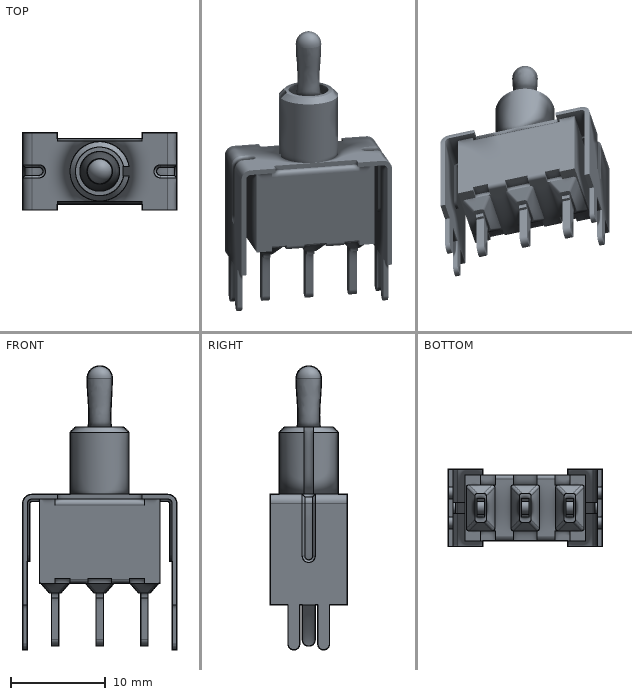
import cadquery as cq
import math


OVERALL_HEIGHT = 29.93

BRACKET_LENGTH = 16.25
BRACKET_DEPTH = 8.15
BRACKET_TOP = 16.4
SHEET = 0.5
BEND_RADIUS = 1.0
BRACKET_PLATE_BOTTOM = 4.75
NOTCH_LENGTH = 8.92
NOTCH_INNER_DEPTH = 6.35
TAB_WIDTH = 1.25
TAB_PITCH = 3.15

BEAD_DEPTH = 0.27
BEAD_WIDTH = 1.38
BEAD_BUMP_WIDTH = 1.15
BEAD_TOP_END_X = 6.4
BEAD_SIDE_END_Z = 9.9

HOUSING_LENGTH = 12.72
HOUSING_DEPTH = 6.95
HOUSING_BOTTOM = 7.0
PANEL_LENGTH = 9.45
PANEL_TOP_ROUND = 0.63
PANEL_BOTTOM_ROUND = 0.42
RECESS_HEIGHT = 0.5
RECESS_DEPTH = 1.05
CENTRE_RECESS_LENGTH = 2.45
END_RECESS_INNER_X = 3.1

TERMINAL_PITCH = 4.7
TERMINAL_THICKNESS = 0.8
TERMINAL_WIDTH = 1.38
TERMINAL_TIP = 0.4
SHOULDER_WIDTH = 1.98
SHOULDER_BOTTOM = 5.48
MOUND_BOTTOM = 6.0
MOUND_TOP_LENGTH = 3.0
MOUND_BOTTOM_LENGTH = 1.2
MOUND_CORNER = 0.27

BUSHING_DIAMETER = 6.25
BUSHING_TOP = 23.5
BUSHING_CHAMFER = 0.57
BORE_DIAMETER = 4.2
KEYWAY_WIDTH = 1.0
KEYWAY_FLOOR_X = 2.42

BALL_CENTRE_Z = 21.4
LEVER_HEAD_RADIUS = 1.35
LEVER_NECK_RADIUS = 1.17
LEVER_NECK_Z = 24.55
LEVER_FOOT_RADIUS = 1.3
LEVER_FOOT_FLARE = 0.15

BRACKET_END_X = BRACKET_LENGTH / 2
BRACKET_UNDERSIDE = BRACKET_TOP - SHEET
BEND_CENTRE_X = BRACKET_END_X - BEND_RADIUS
BEND_CENTRE_Z = BRACKET_TOP - BEND_RADIUS
INNER_BEND_RADIUS = BEND_RADIUS - SHEET
PANEL_END_X = PANEL_LENGTH / 2
HOUSING_FRONT_Y = HOUSING_DEPTH / 2
BALL_RADIUS = BORE_DIAMETER / 2


def box(x_size, y_size, bottom, top, x=0.0, y=0.0):
    """Block centred on (x, y) that spans bottom to top in Z."""
    return cq.Workplane("XY", origin=(x, y, bottom)).box(
        x_size, y_size, top - bottom, centered=(True, True, False)
    )


def blade(thickness, width, tip, top, x, y=0.0):
    """Flat leg facing X, with a full round at its lower tip."""
    round_centre = tip + width / 2
    leg = box(thickness, width, round_centre, top, x, y)
    disc = cq.Workplane("YZ", origin=(x - thickness / 2, y, round_centre)).circle(width / 2).extrude(thickness)
    return leg.union(disc)


def bead_end(outer_radius, inner_radius, centre, direction):
    """Round end of a bead: a cylinder, or a cone when the walls slope."""
    if outer_radius == inner_radius:
        solid = cq.Solid.makeCylinder(outer_radius, BEAD_DEPTH, cq.Vector(*centre), cq.Vector(*direction))
    else:
        solid = cq.Solid.makeCone(
            outer_radius, inner_radius, BEAD_DEPTH, cq.Vector(*centre), cq.Vector(*direction)
        )
    return cq.Workplane(solid)


def bead(outer_radius, outer_half_width, inner_half_width):
    """Right-hand bead: BEAD_DEPTH deep inward from a face bent at outer_radius."""
    inner_radius = outer_radius - BEAD_DEPTH
    section = [
        (-outer_half_width, outer_radius),
        (outer_half_width, outer_radius),
        (inner_half_width, inner_radius),
        (-inner_half_width, inner_radius),
    ]
    face_z = BEND_CENTRE_Z + outer_radius
    face_x = BEND_CENTRE_X + outer_radius
    top_section = cq.Workplane("YZ", origin=(BEND_CENTRE_X, 0, BEND_CENTRE_Z)).polyline(section).close()
    top_leg = top_section.extrude(BEAD_TOP_END_X - BEND_CENTRE_X)
    bend_section = cq.Workplane("YZ", origin=(BEND_CENTRE_X, 0, BEND_CENTRE_Z)).polyline(section).close()
    bend = bend_section.revolve(90, (0, 0), (1, 0))
    side_section = [(radius + BEND_CENTRE_X, y) for y, radius in section]
    side_leg = (
        cq.Workplane("XY", origin=(0, 0, BEND_CENTRE_Z))
        .polyline(side_section)
        .close()
        .extrude(BEAD_SIDE_END_Z - BEND_CENTRE_Z)
    )
    top_end = bead_end(outer_half_width, inner_half_width, (BEAD_TOP_END_X, 0, face_z), (0, 0, -1))
    side_end = bead_end(outer_half_width, inner_half_width, (face_x, 0, BEAD_SIDE_END_Z), (-1, 0, 0))
    return top_leg.union(bend).union(side_leg).union(top_end).union(side_end)


def make_bracket():
    """Bent sheet with notched top, tabs and beads."""
    outside = box(BRACKET_LENGTH, BRACKET_DEPTH, BRACKET_PLATE_BOTTOM, BRACKET_TOP)
    outside = outside.edges("|Y and >Z").fillet(BEND_RADIUS)
    inside = box(BRACKET_LENGTH - 2 * SHEET, BRACKET_DEPTH, BRACKET_PLATE_BOTTOM, BRACKET_UNDERSIDE)
    inside = inside.edges("|Y and >Z").fillet(INNER_BEND_RADIUS)
    bracket = outside.cut(inside)

    notch_depth = (BRACKET_DEPTH - NOTCH_INNER_DEPTH) / 2
    notch_y = (BRACKET_DEPTH - notch_depth) / 2
    for side in (-1, 1):
        bracket = bracket.cut(
            box(NOTCH_LENGTH, notch_depth, BRACKET_UNDERSIDE, BRACKET_TOP, y=side * notch_y)
        )

    tab_x = BRACKET_END_X - SHEET / 2
    for x in (-tab_x, tab_x):
        for y in (-TAB_PITCH / 2, TAB_PITCH / 2):
            bracket = bracket.union(blade(SHEET, TAB_WIDTH, 0, BRACKET_PLATE_BOTTOM, x, y))

    groove = bead(BEND_RADIUS, BEAD_WIDTH / 2, BEAD_WIDTH / 2 - BEAD_DEPTH)
    bump = bead(INNER_BEND_RADIUS, BEAD_BUMP_WIDTH / 2, BEAD_BUMP_WIDTH / 2)
    bracket = bracket.union(bump).union(bump.mirror("YZ"))
    return bracket.cut(groove).cut(groove.mirror("YZ"))


def make_housing():
    """Housing block; the middle panel has rounded edges and recesses under it."""
    panel = box(PANEL_LENGTH, HOUSING_DEPTH, HOUSING_BOTTOM, BRACKET_UNDERSIDE)
    panel = panel.edges("|X and >Z").fillet(PANEL_TOP_ROUND)
    panel = panel.edges("|X and <Z").fillet(PANEL_BOTTOM_ROUND)

    end_recess_length = PANEL_END_X - END_RECESS_INNER_X
    end_recess_x = (PANEL_END_X + END_RECESS_INNER_X) / 2
    recess_y = HOUSING_FRONT_Y - RECESS_DEPTH / 2
    recesses = (
        (-end_recess_x, end_recess_length),
        (0, CENTRE_RECESS_LENGTH),
        (end_recess_x, end_recess_length),
    )
    for x, length in recesses:
        for y in (-recess_y, recess_y):
            recess = box(length, RECESS_DEPTH, HOUSING_BOTTOM, HOUSING_BOTTOM + RECESS_HEIGHT, x, y)
            panel = panel.cut(recess)

    wing_length = HOUSING_LENGTH / 2 - PANEL_END_X
    wing_x = PANEL_END_X + wing_length / 2
    housing = panel
    for x in (-wing_x, wing_x):
        housing = housing.union(box(wing_length, HOUSING_DEPTH, HOUSING_BOTTOM, BRACKET_UNDERSIDE, x))
    return housing


def make_terminal(x):
    """Shouldered terminal blade with the tapered mound around its root."""
    height = HOUSING_BOTTOM - MOUND_BOTTOM
    top_depth = HOUSING_DEPTH - 2 * RECESS_DEPTH
    bottom_depth = top_depth - (MOUND_TOP_LENGTH - MOUND_BOTTOM_LENGTH)
    upper = cq.Sketch().rect(MOUND_TOP_LENGTH, top_depth).vertices().fillet(MOUND_CORNER)
    lower = cq.Sketch().rect(MOUND_BOTTOM_LENGTH, bottom_depth).vertices().fillet(MOUND_CORNER)
    mound = (
        cq.Workplane("XY", origin=(x, 0, MOUND_BOTTOM))
        .placeSketch(lower, upper.moved(cq.Location(cq.Vector(0, 0, height))))
        .loft()
    )
    pin = blade(TERMINAL_THICKNESS, TERMINAL_WIDTH, TERMINAL_TIP, MOUND_BOTTOM, x)
    shoulder = box(TERMINAL_THICKNESS, SHOULDER_WIDTH, SHOULDER_BOTTOM, MOUND_BOTTOM, x)
    return mound.union(pin).union(shoulder)


def make_bushing():
    """Chamfered bushing with a keyway along its +X side."""
    bushing = (
        cq.Workplane("XY", origin=(0, 0, BRACKET_TOP))
        .circle(BUSHING_DIAMETER / 2)
        .extrude(BUSHING_TOP - BRACKET_TOP)
        .faces(">Z")
        .chamfer(BUSHING_CHAMFER)
    )
    keyway_length = BUSHING_DIAMETER / 2
    keyway = box(keyway_length, KEYWAY_WIDTH, BRACKET_TOP, BUSHING_TOP, KEYWAY_FLOOR_X + keyway_length / 2)
    return bushing.cut(keyway)


def make_socket():
    """Space for the lever: the bore, closed by a hemisphere that seats the ball."""
    profile = (
        cq.Workplane("XZ")
        .moveTo(0, BALL_CENTRE_Z - BALL_RADIUS)
        .radiusArc((BALL_RADIUS, BALL_CENTRE_Z), -BALL_RADIUS)
        .lineTo(BALL_RADIUS, BUSHING_TOP)
        .lineTo(0, BUSHING_TOP)
        .close()
    )
    return profile.revolve(360, (0, 0), (0, 1))


def make_switch_body():
    body = make_bracket().union(make_housing())
    for x in (-TERMINAL_PITCH, 0, TERMINAL_PITCH):
        body = body.union(make_terminal(x))
    return body.union(make_bushing()).cut(make_socket())


def make_lever():
    """Round-headed tapered stick that flares slightly where it meets its ball."""
    head_z = OVERALL_HEIGHT - LEVER_HEAD_RADIUS
    foot_z = BALL_CENTRE_Z + math.sqrt(BALL_RADIUS**2 - LEVER_FOOT_RADIUS**2)
    profile = (
        cq.Workplane("XZ")
        .moveTo(0, OVERALL_HEIGHT)
        .radiusArc((LEVER_HEAD_RADIUS, head_z), LEVER_HEAD_RADIUS)
        .spline(
            [(LEVER_NECK_RADIUS, LEVER_NECK_Z), (LEVER_FOOT_RADIUS, foot_z)],
            tangents=[(0, -1), (LEVER_FOOT_FLARE, -1)],
            includeCurrent=True,
        )
        .threePointArc((BALL_RADIUS, BALL_CENTRE_Z), (0, BALL_CENTRE_Z - BALL_RADIUS))
        .close()
    )
    return profile.revolve(360, (0, 0), (0, 1))


switch_body = make_switch_body()
lever = make_lever()

result = cq.Compound.makeCompound([switch_body.solids().val(), lever.val()])